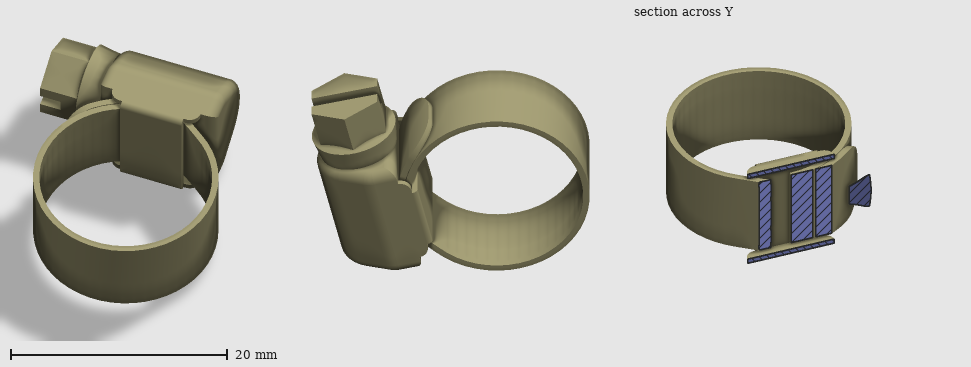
import cadquery as cq
import math


band_radius = 8.55
band_thickness = 0.59
band_width = 7.95
lap_gap = 0.07
lap_start_angle = 55.0
lap_end_angle = 90.0
tail_end_angle = 150.0
tail_corner_radius = 3.03
inner_radius = band_radius - band_thickness
tail_inner_radius = band_radius + lap_gap
tail_outer_radius = tail_inner_radius + band_thickness

housing_length = 11.5
housing_width = 10.4
housing_base = 8.37
housing_top = 15.9
crown_radius = 4.15
roof_angle = 30.0
shoulder_radius = 2.0
end_fillet = 0.98
sheet_thickness = 0.55
tab_length = 8.6
tab_base = 7.35
strap_length = 6.02
strap_bend_radius = 0.51
half_width = housing_width / 2
screw_axis_y = housing_top - crown_radius

head_end_x = -11.52
hex_across_flats = 6.24
flange_front_x = -7.78
flange_radius = 3.96
flange_back_radius = 3.62
flange_front_slope = 20.0
slot_width = 1.22
slot_depth = 2.0
flange_back_x = -housing_length / 2


def polar(radius, degrees):
    """Point in the XY plane at a radius and angle about the band axis."""
    angle = math.radians(degrees)
    return (radius * math.cos(angle), radius * math.sin(angle))


def tangent(degrees):
    """Counter-clockwise direction along the band at an angle."""
    return polar(1.0, degrees + 90.0)


def make_band():
    """Strip that goes once round, then climbs over its own start and ends in a rounded tail."""
    middle_of_tail = (lap_end_angle + tail_end_angle) / 2
    climb_start = tangent(lap_start_angle)
    climb_end = tangent(lap_end_angle)
    bottom_angle = -90.0
    outline = (
        cq.Workplane("XY", origin=(0, 0, -band_width / 2))
        .moveTo(*polar(band_radius, lap_end_angle))
        .threePointArc(polar(band_radius, bottom_angle), polar(band_radius, lap_start_angle))
        .spline([polar(tail_outer_radius, lap_end_angle)], [climb_start, climb_end], includeCurrent=True)
        .threePointArc(polar(tail_outer_radius, middle_of_tail), polar(tail_outer_radius, tail_end_angle))
        .lineTo(*polar(tail_inner_radius, tail_end_angle))
        .threePointArc(polar(tail_inner_radius, middle_of_tail), polar(tail_inner_radius, lap_end_angle))
        .spline(
            [polar(inner_radius, lap_start_angle)],
            [(-climb_end[0], -climb_end[1]), (-climb_start[0], -climb_start[1])],
            includeCurrent=True,
        )
        .threePointArc(polar(inner_radius, bottom_angle), polar(inner_radius, lap_end_angle))
        .close()
    )
    strip = outline.extrude(band_width)
    tail_middle = polar((tail_inner_radius + tail_outer_radius) / 2, tail_end_angle)
    for z in (-band_width / 2, band_width / 2):
        corner = cq.selectors.NearestToPointSelector((*tail_middle, z))
        strip = strip.edges(corner).fillet(tail_corner_radius)
    return strip


def make_housing_block():
    """Round-crowned block with rounded shoulders and both ends rounded over."""
    roof = math.radians(roof_angle)
    roof_start_y = screw_axis_y + crown_radius * math.sin(roof)
    roof_start_z = crown_radius * math.cos(roof)
    shoulder_y = roof_start_y - (half_width - roof_start_z) / math.tan(roof)
    block = (
        cq.Workplane("YZ", origin=(-housing_length / 2, 0, 0))
        .moveTo(housing_base, -half_width)
        .lineTo(shoulder_y, -half_width)
        .lineTo(roof_start_y, -roof_start_z)
        .threePointArc((housing_top, 0), (roof_start_y, roof_start_z))
        .lineTo(shoulder_y, half_width)
        .lineTo(housing_base, half_width)
        .close()
        .extrude(housing_length)
    )
    for z in (-half_width, half_width):
        shoulder = cq.selectors.NearestToPointSelector((0, shoulder_y, z))
        block = block.edges(shoulder).fillet(shoulder_radius)
    return block.faces("<X or >X").edges().fillet(end_fillet)


def make_tab(z):
    """Side tab below the block, centred on z, with its lower corners fully rounded."""
    tab_height = housing_base - tab_base
    half_straight = tab_length / 2 - tab_height
    arc_offset = tab_height * math.sqrt(0.5)
    return (
        cq.Workplane("XY", origin=(0, housing_base, z - sheet_thickness / 2))
        .moveTo(-tab_length / 2, 0)
        .threePointArc((-half_straight - arc_offset, -arc_offset), (-half_straight, -tab_height))
        .lineTo(half_straight, -tab_height)
        .threePointArc((half_straight + arc_offset, -arc_offset), (tab_length / 2, 0))
        .close()
        .extrude(sheet_thickness)
    )


def make_strap():
    """Plate across the underside that joins the two tabs beneath the band."""
    return (
        cq.Workplane("XY", origin=(0, tab_base - sheet_thickness / 2, 0))
        .box(strap_length, sheet_thickness, housing_width)
        .edges("|X and <Y")
        .fillet(strap_bend_radius)
    )


def make_housing():
    """Block, tabs and strap, with a curved channel for the two layers of the band."""
    channel = cq.Workplane("XY").circle(tail_outer_radius).extrude(band_width / 2, both=True)
    housing = make_housing_block().cut(channel)
    tab_z = half_width - sheet_thickness / 2
    for z in (-tab_z, tab_z):
        housing = housing.union(make_tab(z))
    return housing.union(make_strap())


def make_screw():
    """Slotted hexagon head with a tapered flange that bears on the housing end."""
    cone_height = flange_radius * math.tan(math.radians(flange_front_slope))
    flange = (
        cq.Workplane("XY")
        .moveTo(flange_back_x, 0)
        .lineTo(flange_back_x, flange_back_radius)
        .lineTo(flange_front_x, flange_radius)
        .lineTo(flange_front_x - cone_height, 0)
        .close()
        .revolve(360, (0, 0, 0), (1, 0, 0))
        .translate((0, screw_axis_y, 0))
    )
    hexagon = (
        cq.Workplane("YZ", origin=(head_end_x, screw_axis_y, 0))
        .polygon(6, hex_across_flats, circumscribed=True)
        .extrude(flange_back_x - head_end_x)
    )
    slot = (
        cq.Workplane("XY", origin=(head_end_x + slot_depth / 2, screw_axis_y, 0))
        .box(slot_depth, 2 * flange_radius, slot_width)
    )
    return flange.union(hexagon).cut(slot)


band = make_band()
housing = make_housing()
screw = make_screw()

result = cq.Compound.makeCompound([band.val(), housing.val(), screw.val()])